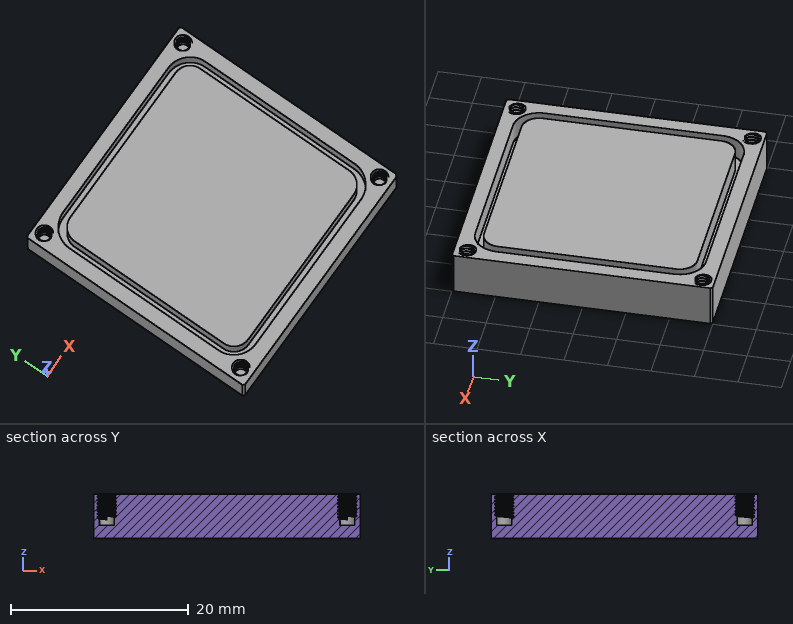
import cadquery as cq
import math

side = 30.0
height = 5.0
corner_chamfer = 0.25

groove_margin = 1.75
groove_width = 1.0
groove_depth = 2.5
groove_outer_radius = 3.0
groove_inner_radius = groove_outer_radius - groove_width

hole_inset = 1.47
minor_diameter = 1.62
major_diameter = 2.07
thread_pitch = 0.4
thread_turns = 7
thread_overlap = 0.015
thread_angle = 60.0
thread_root_flat = thread_pitch / 8
thread_length = thread_turns * thread_pitch
hole_depth = thread_length + 2 * thread_pitch


def chamfered_block():
    block = cq.Workplane("XY").box(side, side, height, centered=(True, True, False))
    return block.edges("|Z").chamfer(corner_chamfer)


def rounded_prism(width, radius):
    """Square prism with rounded corners, as deep as the groove and flush with the top face."""
    base = cq.Workplane("XY").workplane(offset=height - groove_depth)
    return base.rect(width, width).extrude(groove_depth).edges("|Z").fillet(radius)


def ring_groove():
    outer_width = side - 2 * groove_margin
    island_width = outer_width - 2 * groove_width
    outer = rounded_prism(outer_width, groove_outer_radius)
    island = rounded_prism(island_width, groove_inner_radius)
    return outer.cut(island)


def thread_groove():
    """Right-handed V groove around Z that leaves the top face (z = 0) on the +Y side."""
    root_radius = major_diameter / 2
    mouth_radius = minor_diameter / 2 - thread_overlap
    root_half = thread_root_flat / 2
    mouth_half = root_half + (root_radius - mouth_radius) * math.tan(math.radians(thread_angle / 2))
    path = cq.Wire.makeHelix(thread_pitch, thread_length + thread_pitch, minor_diameter / 2)
    profile = [
        (mouth_radius, -mouth_half),
        (root_radius, -root_half),
        (root_radius, root_half),
        (mouth_radius, mouth_half),
    ]
    groove = cq.Workplane("XZ").polyline(profile).close().sweep(cq.Workplane(path), isFrenet=True)
    return groove.rotate((0, 0, 0), (0, 0, 1), 90).translate((0, 0, -thread_length))


def cut_threaded_holes(body):
    centre = side / 2 - hole_inset
    bore = cq.Workplane("XY").circle(minor_diameter / 2).extrude(-hole_depth)
    groove = thread_groove()
    for x in (-centre, centre):
        for y in (-centre, centre):
            place = (x, y, height)
            body = body.cut(bore.translate(place)).cut(groove.translate(place))
    return body


result = cut_threaded_holes(chamfered_block().cut(ring_groove()))